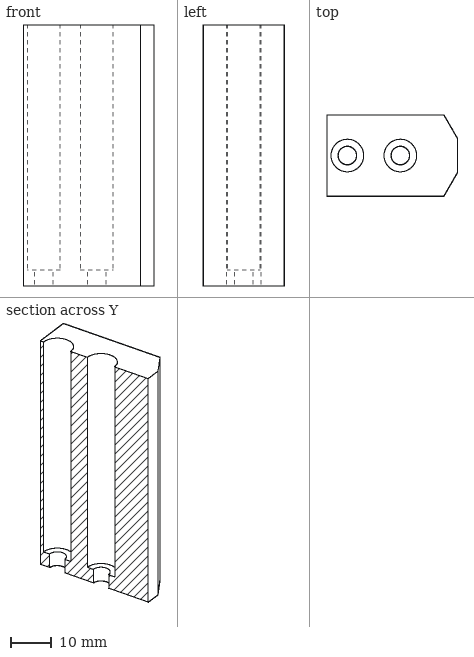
import cadquery as cq
import math

length = 32.0
width = 20.0
height = 64.0

bevel_length = 3.3
bevel_angle = 60.0
bevel_width = bevel_length * math.tan(math.radians(bevel_angle))

hole_diameter = 4.5
counterbore_diameter = 8.0
counterbore_floor = 4.0
counterbore_depth = height - counterbore_floor
first_hole_x = 5.0
hole_spacing = 13.0


def bevelled_block():
    """Upright block, with its -X face on x = 0 and its base on z = 0."""
    half_width = width / 2
    bevel_start_x = length - bevel_length
    end_half_width = half_width - bevel_width
    outline = [
        (0, -half_width),
        (bevel_start_x, -half_width),
        (length, -end_half_width),
        (length, end_half_width),
        (bevel_start_x, half_width),
        (0, half_width),
    ]
    return cq.Workplane("XY").polyline(outline).close().extrude(height)


def drill_screw_holes(block):
    """Through holes, counterbored from the top down to a thin floor."""
    hole_centres = [(first_hole_x, 0), (first_hole_x + hole_spacing, 0)]
    return (
        block.faces(">Z")
        .workplane(origin=(0, 0, height))
        .pushPoints(hole_centres)
        .cboreHole(hole_diameter, counterbore_diameter, counterbore_depth)
    )


result = drill_screw_holes(bevelled_block())